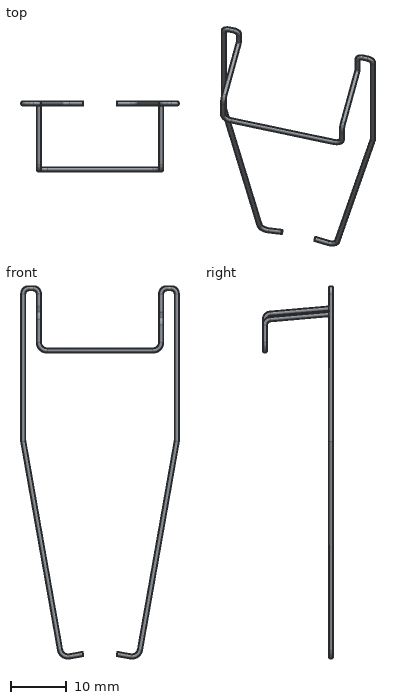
import cadquery as cq
import math

wire_diameter = 0.8
wire_radius = wire_diameter / 2
total_height = 66.8
total_width = 28.3
total_depth = 12.6

leg_x = total_width / 2 - wire_radius
kink_z = 39.0
leg_lean = math.radians(10)
foot_bend_radius = 1.5
foot_length = 2.5

hook_spacing = 2.8
hook_x = leg_x - hook_spacing
hook_z = total_height - wire_radius
hook_bend_radius = 1.0

strut_slope = math.radians(5)
left_strut_z = 62.8
right_strut_z = 61.8
strut_rear_bend_radius = 0.55
strut_front_bend_radius = 1.0
front_y = wire_diameter - total_depth

crossbar_z = 55.25
crossbar_bend_radius = 1.5


def side_corners(side, strut_z):
    """Corners of one side as (point, bend radius), from the foot tip up and forward to the crossbar."""
    lean_sin = math.sin(leg_lean)
    lean_cos = math.cos(leg_lean)
    foot_corner_z = wire_radius + foot_bend_radius * (1 - lean_cos - lean_sin)
    foot_corner_x = leg_x - (kink_z - foot_corner_z) * math.tan(leg_lean)
    foot_reach = foot_bend_radius + foot_length
    tip_x = foot_corner_x - foot_reach * lean_cos
    tip_z = foot_corner_z + foot_reach * lean_sin
    strut_front_z = strut_z + front_y * math.tan(strut_slope)
    return [
        (cq.Vector(side * tip_x, 0, tip_z), 0),
        (cq.Vector(side * foot_corner_x, 0, foot_corner_z), foot_bend_radius),
        (cq.Vector(side * leg_x, 0, kink_z), 0),
        (cq.Vector(side * leg_x, 0, hook_z), hook_bend_radius),
        (cq.Vector(side * hook_x, 0, hook_z), hook_bend_radius),
        (cq.Vector(side * hook_x, 0, strut_z), strut_rear_bend_radius),
        (cq.Vector(side * hook_x, front_y, strut_front_z), strut_front_bend_radius),
        (cq.Vector(side * hook_x, front_y, crossbar_z), crossbar_bend_radius),
    ]


def bend_points(before, corner, after, radius):
    """Start, middle and end of the arc that rounds a corner."""
    to_before = (before - corner).normalized()
    to_after = (after - corner).normalized()
    half_angle = to_before.getAngle(to_after) / 2
    tangent_length = radius / math.tan(half_angle)
    middle_distance = radius / math.sin(half_angle) - radius
    bisector = (to_before + to_after).normalized()
    return (
        corner + to_before * tangent_length,
        corner + bisector * middle_distance,
        corner + to_after * tangent_length,
    )


def wire_path(corners):
    """Centreline through the corners, rounded wherever a bend radius is given."""
    edges = []
    position = corners[0][0]
    for previous, current, following in zip(corners, corners[1:], corners[2:]):
        corner, radius = current
        if radius == 0:
            edges.append(cq.Edge.makeLine(position, corner))
            position = corner
            continue
        start, middle, end = bend_points(previous[0], corner, following[0], radius)
        edges.append(cq.Edge.makeLine(position, start))
        edges.append(cq.Edge.makeThreePointArc(start, middle, end))
        position = end
    edges.append(cq.Edge.makeLine(position, corners[-1][0]))
    return cq.Wire.assembleEdges(edges)


left_corners = side_corners(-1, left_strut_z)
right_corners = side_corners(1, right_strut_z)
corners = left_corners + right_corners[::-1]
path = wire_path(corners)

tip = corners[0][0]
foot_direction = corners[1][0] - tip
result = (
    cq.Workplane(cq.Plane(origin=tip, xDir=(0, 1, 0), normal=foot_direction))
    .circle(wire_radius)
    .sweep(path, transition="right")
)